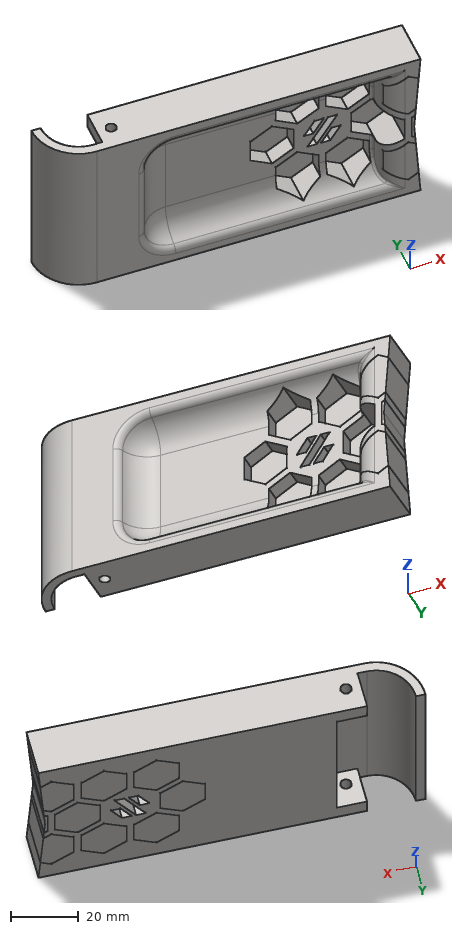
import cadquery as cq
import math

LENGTH = 117.8
THICKNESS = 15.0
HEIGHT = 56.0
MID_Z = HEIGHT / 2
NOTCH_DEPTH = 2.0

LIP_WALL = 3.0
LIP_RADIUS = THICKNESS
BLOCK_START = 17.8

ARC_MID = math.sqrt(0.5)

PIN_HOLE_DIAMETER = 3.3
PIN_HOLE_X = 22.4

EAR_HEIGHT = 5.1
RECESS_LENGTH = 2 * (PIN_HOLE_X - BLOCK_START)

POCKET_DEPTH = 8.4
POCKET_START = 28.1
POCKET_END = 112.7
POCKET_MARGIN = 3.0
FLOOR_ROUND = 9.9
RIM_ROUND = 2.6
WALL_ANGLE = math.acos(1 - POCKET_DEPTH / (FLOOR_ROUND + RIM_ROUND))
WALL_WIDTH = (FLOOR_ROUND + RIM_ROUND) * math.sin(WALL_ANGLE)
FLOOR_START = POCKET_START + WALL_WIDTH
FLOOR_HALF_HEIGHT = MID_Z - POCKET_MARGIN - WALL_WIDTH

END_RIM_ROUND = 7.0
END_FLOOR_ROUND = 1.0
END_WALL_X = POCKET_END - END_RIM_ROUND
PICK_MARGIN = 0.1

HEX_SIDES = 6
HEX_FLATS = 13.8
HEX_PITCH = 16.0
HEX_ROW_STEP = 14.0
EMBLEM_X = 89.9
FLOOR_PLATE = 1.5

SLOT_WIDTH = 3.0
SLOT_SLANT = 0.65
LONG_SLOT_HEIGHT = 10.1
SHORT_SLOT_HEIGHT = 5.2
SHORT_SLOT_OFFSET_X = 2.7
SHORT_SLOT_OFFSET_Z = (LONG_SLOT_HEIGHT - SHORT_SLOT_HEIGHT) / 2

OPEN_CELLS = [(-0.5, 1), (0.5, 1), (-1, 0), (1, 0), (-0.5, -1), (0.5, -1)]
FILLED_CELLS = [(1.5, 1), (2, 0), (1.5, -1)]


def prism_through(points, start_y=0.0):
    """Prism of an (x, z) outline running from start_y to the back face."""
    outline = cq.Workplane("XZ", origin=(0, start_y, 0)).polyline(points).close()
    return outline.extrude(start_y - THICKNESS)


def block():
    """Block with the curved lip, seen as an (x, y) section, notched at the far end."""
    inner_radius = LIP_RADIUS - LIP_WALL
    section = (
        cq.Workplane("XY")
        .moveTo(0, THICKNESS)
        .threePointArc(
            (LIP_RADIUS * (1 - ARC_MID), LIP_RADIUS * (1 - ARC_MID)),
            (LIP_RADIUS, 0),
        )
        .lineTo(LENGTH, 0)
        .lineTo(LENGTH, THICKNESS)
        .lineTo(BLOCK_START, THICKNESS)
        .lineTo(BLOCK_START, LIP_WALL)
        .lineTo(LIP_RADIUS, LIP_WALL)
        .threePointArc(
            (LIP_RADIUS - inner_radius * ARC_MID, LIP_RADIUS - inner_radius * ARC_MID),
            (LIP_WALL, THICKNESS),
        )
        .close()
    )
    notch = prism_through([(LENGTH, 0), (LENGTH - NOTCH_DEPTH, MID_Z), (LENGTH, HEIGHT)])
    return section.extrude(HEIGHT).cut(notch)


def pin_hole():
    """Hole for the hinge pin, through both ears."""
    return (
        cq.Workplane("XY")
        .center(PIN_HOLE_X, THICKNESS / 2)
        .circle(PIN_HOLE_DIAMETER / 2)
        .extrude(HEIGHT)
    )


def ear_recess():
    """Recess between the ears, open at the back and towards the lip."""
    return cq.Workplane("XY").box(
        RECESS_LENGTH, THICKNESS - LIP_WALL, HEIGHT - 2 * EAR_HEIGHT, centered=False
    ).translate((BLOCK_START, LIP_WALL, EAR_HEIGHT))


def wall_section(outward, along, origin):
    """Space over one dished wall: local x points outward from the floor edge, local y is world Y."""
    half_angle = WALL_ANGLE / 2
    meet_out = FLOOR_ROUND * math.sin(WALL_ANGLE)
    meet_y = RIM_ROUND * (1 - math.cos(WALL_ANGLE))
    floor_mid = (
        FLOOR_ROUND * math.sin(half_angle),
        POCKET_DEPTH - FLOOR_ROUND * (1 - math.cos(half_angle)),
    )
    rim_mid = (
        WALL_WIDTH - RIM_ROUND * math.sin(half_angle),
        RIM_ROUND * (1 - math.cos(half_angle)),
    )
    return (
        cq.Workplane(cq.Plane(origin=origin, xDir=outward, normal=along))
        .moveTo(0, 0)
        .lineTo(0, POCKET_DEPTH)
        .threePointArc(floor_mid, (meet_out, meet_y))
        .threePointArc(rim_mid, (WALL_WIDTH, 0))
        .close()
    )


def end_wall_edges():
    """Picks the edges that lie in the steep part of the pocket's end wall."""
    return cq.selectors.BoxSelector(
        (END_WALL_X - PICK_MARGIN, END_RIM_ROUND, 0),
        (END_WALL_X + PICK_MARGIN, THICKNESS, HEIGHT),
    )


def pocket_channel(low_z, high_z):
    """Straight part of the pocket: flat floor, two dished side walls and the steep end wall."""
    run = POCKET_END - FLOOR_START
    centre = cq.Workplane("XY").box(run, POCKET_DEPTH, high_z - low_z, centered=False)
    upper_wall = wall_section((0, 0, 1), (-1, 0, 0), (POCKET_END, 0, high_z)).extrude(run)
    lower_wall = wall_section((0, 0, -1), (1, 0, 0), (FLOOR_START, 0, low_z)).extrude(run)
    channel = centre.translate((FLOOR_START, 0, low_z)).union(upper_wall).union(lower_wall)

    end_material = (
        cq.Workplane("XY")
        .moveTo(POCKET_END, 0)
        .threePointArc(
            (POCKET_END - END_RIM_ROUND * ARC_MID, END_RIM_ROUND * (1 - ARC_MID)),
            (END_WALL_X, END_RIM_ROUND),
        )
        .lineTo(END_WALL_X, THICKNESS)
        .lineTo(POCKET_END, THICKNESS)
        .close()
        .extrude(HEIGHT)
    )
    channel = channel.cut(end_material)
    return channel.edges(end_wall_edges()).edges("|Z").fillet(END_FLOOR_ROUND)


def pocket():
    """Cutter for the pocket: the channel, the dished near wall and two revolved corners."""
    low_z = MID_Z - FLOOR_HALF_HEIGHT
    high_z = MID_Z + FLOOR_HALF_HEIGHT
    outward = (-1, 0, 0)
    along = (0, 0, -1)
    near_wall = wall_section(outward, along, (FLOOR_START, 0, high_z)).extrude(high_z - low_z)
    cutter = pocket_channel(low_z, high_z).union(near_wall)
    for z, turn in ((low_z, -1), (high_z, 1)):
        section = wall_section(outward, along, (FLOOR_START, 0, z))
        cutter = cutter.union(section.revolve(90, (0, 0, 0), (0, turn, 0)))
    return cutter


def hexagon(cell, start_y=0.0):
    """Hexagonal prism with corners up and down at one honeycomb place."""
    column, row = cell
    radius = HEX_FLATS / math.sqrt(3)
    angles = [2 * math.pi * (corner + 0.5) / HEX_SIDES for corner in range(HEX_SIDES)]
    x = EMBLEM_X + column * HEX_PITCH
    z = MID_Z + row * HEX_ROW_STEP
    return prism_through(
        [(x + radius * math.cos(a), z + radius * math.sin(a)) for a in angles], start_y
    )


def slot(offset_x, offset_z, height):
    """Slanted slot through the floor, placed from the middle of the emblem."""
    x = EMBLEM_X + offset_x
    z = MID_Z + offset_z
    lean = SLOT_SLANT * height / 2
    half = SLOT_WIDTH / 2
    return prism_through(
        [
            (x - lean - half, z - height / 2),
            (x - lean + half, z - height / 2),
            (x + lean + half, z + height / 2),
            (x + lean - half, z + height / 2),
        ]
    )


def dished_block():
    """Housing blank with its pocket and hinge features, before the honeycomb."""
    return block().cut(pin_hole()).cut(ear_recess()).cut(pocket())


def make_housing(blank):
    """Blank pierced by every honeycomb cell and by the three slots."""
    body = blank.cut(slot(0, 0, LONG_SLOT_HEIGHT))
    for side in (-1, 1):
        body = body.cut(
            slot(side * SHORT_SLOT_OFFSET_X, -side * SHORT_SLOT_OFFSET_Z, SHORT_SLOT_HEIGHT)
        )
    for cell in OPEN_CELLS + FILLED_CELLS:
        body = body.cut(hexagon(cell))
    return body


def make_floor_plate(cell):
    """Thin hexagon closing the back of an open cell."""
    return hexagon(cell, THICKNESS - FLOOR_PLATE)


def make_wall_plug(cell, blank):
    """Hexagonal plug filling a cell flush with the pocket wall, front face and notched end."""
    return blank.intersect(hexagon(cell))


housing_blank = dished_block()
housing = make_housing(housing_blank)
floor_plates = [make_floor_plate(cell) for cell in OPEN_CELLS]
wall_plugs = [make_wall_plug(cell, housing_blank) for cell in FILLED_CELLS]

result = cq.Compound.makeCompound(
    [body.solids().val() for body in [housing] + floor_plates + wall_plugs]
)